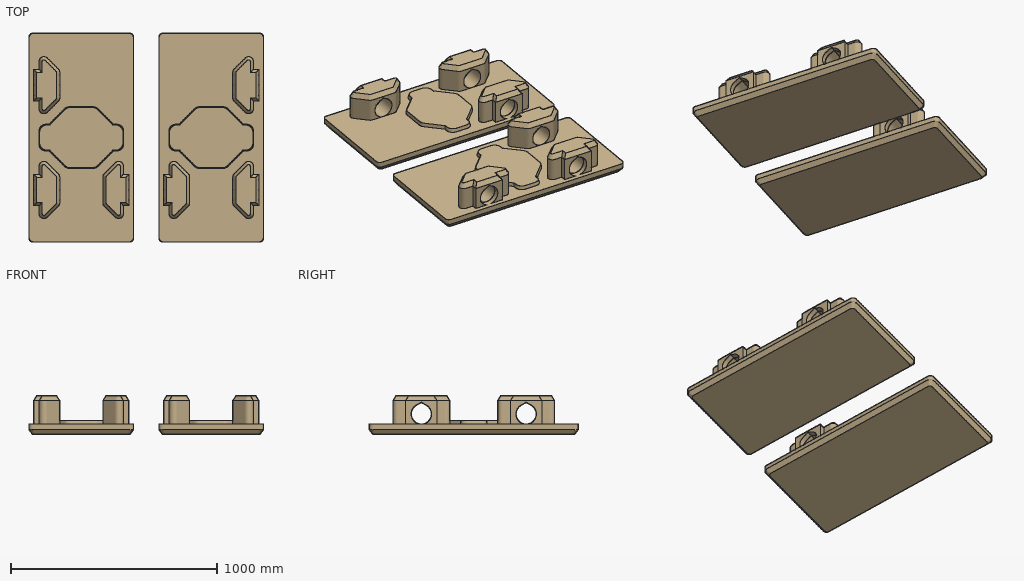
import cadquery as cq
import math

INCH = 25.4

plate_width = 20.0 * INCH
plate_length = 39.9 * INCH
plate_gap = 4.8 * INCH
plate_thickness = 2.0 * INCH
plate_corner_radius = 0.8 * INCH
plate_bevel_height = 0.95 * INCH
plate_bevel_inset = 0.7 * INCH

post_top = 7.4 * INCH
post_depth = 5.0 * INCH
post_edge_margin = 0.9 * INCH
post_half_length = 5.45 * INCH
post_spacing = 20.0 * INCH
post_corner_radius = 0.92 * INCH
post_bevel_height = 0.95 * INCH
post_bevel_inset = 0.6 * INCH
tab_depth = 1.05 * INCH
tab_half_length = 3.0 * INCH

hole_radius = 1.9 * INCH
tab_hole_radius = 1.95 * INCH
hole_height = 3.9 * INCH
hole_roof_angle = 30.0

pad_height = 0.7 * INCH
pad_half_width = 8.1 * INCH
pad_half_length = 5.9 * INCH
lobe_half_length = 2.55 * INCH
neck_half_width = 6.13 * INCH
pad_corner_radius = 1.4 * INCH
pad_draft_inset = 0.15 * INCH


def taper_angle(inset, height):
    """Angle from vertical of a bevel that moves in by `inset` over `height`."""
    return math.degrees(math.atan2(inset, height))


def make_plate():
    """Slab with a bevelled lower edge and rounded corners; centred on the Z axis, underside at Z = 0."""
    widest_plane = cq.Workplane("XY", origin=(0, 0, plate_bevel_height))
    rim = widest_plane.rect(plate_width, plate_length).extrude(plate_thickness - plate_bevel_height)
    bevel = widest_plane.rect(plate_width, plate_length).extrude(
        -plate_bevel_height, taper=taper_angle(plate_bevel_inset, plate_bevel_height)
    )
    return rim.union(bevel).edges("not(#Z)").fillet(plate_corner_radius)


def post_body_outline(workplane):
    """Trapezoid with rounded corners; its long side faces -X at the root of the tab."""
    long_x = tab_depth + post_corner_radius
    short_x = post_depth - post_corner_radius
    long_y = post_half_length - post_corner_radius
    short_y = long_y - (short_x - long_x)
    corners = [
        (long_x, long_y, 180, 45),
        (short_x, short_y, 45, 0),
        (short_x, -short_y, 0, -45),
        (long_x, -long_y, -45, -180),
    ]

    def rim_point(x, y, degrees):
        angle = math.radians(degrees)
        return (x + post_corner_radius * math.cos(angle), y + post_corner_radius * math.sin(angle))

    outline = workplane.moveTo(tab_depth, 0)
    for x, y, start, end in corners:
        outline = outline.lineTo(*rim_point(x, y, start))
        outline = outline.threePointArc(rim_point(x, y, (start + end) / 2), rim_point(x, y, end))
    return outline.close()


def post_tab_outline(workplane):
    """Rectangle from X = 0 that runs on into the post body."""
    tab_reach = post_depth - post_corner_radius
    return workplane.center(tab_reach / 2, 0).rect(tab_reach, 2 * tab_half_length)


def bevelled_column(draw_outline):
    """Column from the plate top to the post top, bevelled around its upper edge."""
    bevel_start = post_top - post_bevel_height
    shaft_plane = cq.Workplane("XY", origin=(0, 0, plate_thickness))
    crown_plane = cq.Workplane("XY", origin=(0, 0, bevel_start))
    shaft = draw_outline(shaft_plane).extrude(bevel_start - plate_thickness)
    crown = draw_outline(crown_plane).extrude(
        post_bevel_height, taper=taper_angle(post_bevel_inset, post_bevel_height)
    )
    return shaft.union(crown)


def teardrop(depth, radius):
    """Round bore from X = 0 along +X with a pitched roof, at the hole height."""
    slope = math.radians(hole_roof_angle)
    side_y = radius * math.sin(slope)
    side_z = radius * math.cos(slope)
    return (
        cq.Workplane("YZ", origin=(0, 0, hole_height))
        .moveTo(side_y, side_z)
        .threePointArc((0, -radius), (-side_y, side_z))
        .lineTo(0, radius / math.cos(slope))
        .close()
        .extrude(depth)
    )


def make_post():
    """One bored post standing on the plate top, tab facing -X."""
    body = bevelled_column(post_body_outline)
    tab = bevelled_column(post_tab_outline)
    bore = teardrop(post_depth, hole_radius)
    tab_bore = teardrop(tab_depth, tab_hole_radius)
    return body.union(tab).cut(bore).cut(tab_bore)


def make_pad():
    """Low octagonal pad with drafted sides and a rounded lobe at each end."""
    foot = cq.Workplane("XY", origin=(0, 0, plate_thickness))
    draft = taper_angle(pad_draft_inset, pad_height)
    flat_half_width = neck_half_width - (pad_half_length - lobe_half_length)
    octagon = (
        foot.polyline([
            (neck_half_width, -lobe_half_length),
            (neck_half_width, lobe_half_length),
            (flat_half_width, pad_half_length),
            (-flat_half_width, pad_half_length),
            (-neck_half_width, lobe_half_length),
            (-neck_half_width, -lobe_half_length),
            (-flat_half_width, -pad_half_length),
            (flat_half_width, -pad_half_length),
        ])
        .close()
        .extrude(pad_height, taper=draft)
        .edges("not(#Z)")
        .edges(">Y or <Y")
        .fillet(pad_corner_radius)
    )
    lobes = (
        foot.rect(2 * pad_half_width, 2 * lobe_half_length)
        .extrude(pad_height, taper=draft)
        .edges("not(#Z)")
        .fillet(pad_corner_radius)
    )
    return octagon.union(lobes)


def make_left_base():
    """Complete base: two posts on the -X edge and one on the +X edge, near -Y."""
    post_x = post_edge_margin - plate_width / 2
    post_y = post_spacing / 2
    left_post = make_post().translate((post_x, 0, 0))
    right_post = left_post.mirror("YZ")
    return (
        make_plate()
        .union(make_pad())
        .union(left_post.translate((0, post_y, 0)))
        .union(left_post.translate((0, -post_y, 0)))
        .union(right_post.translate((0, -post_y, 0)))
    )


base_offset = (plate_width + plate_gap) / 2
left_base = make_left_base().translate((-base_offset, 0, 0))
right_base = left_base.mirror("YZ")

result = cq.Compound.makeCompound([left_base.val(), right_base.val()])